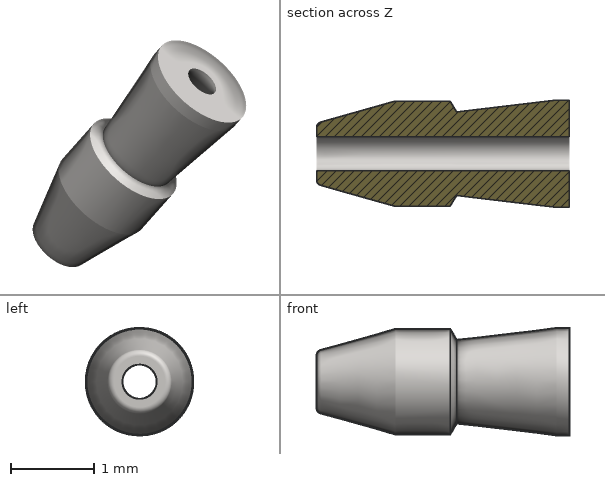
import cadquery as cq

length = 3.05
body_start = 0.952
body_end = 1.61
neck_position = 1.69
rim_width = 0.155

nose_radius = 0.37
body_radius = 0.637
neck_radius = 0.505
rim_radius = 0.65
bore_radius = 0.205
nose_fillet = 0.075


def turned_body():
    """Solid of revolution: nose cone, cylinder, neck, flare and rim."""
    profile = (
        cq.Workplane("XY")
        .moveTo(0, 0)
        .lineTo(0, nose_radius)
        .lineTo(body_start, body_radius)
        .lineTo(body_end, body_radius)
        .lineTo(neck_position, neck_radius)
        .lineTo(length - rim_width, rim_radius)
        .lineTo(length, rim_radius)
        .lineTo(length, 0)
        .close()
    )
    return profile.revolve(360, (0, 0, 0), (1, 0, 0))


def through_bore():
    """Straight bore along the whole axis."""
    return cq.Workplane("YZ").circle(bore_radius).extrude(length)


rounded_body = turned_body().faces("<X").edges().fillet(nose_fillet)
result = rounded_body.cut(through_bore()).translate((-length / 2, 0, 0))